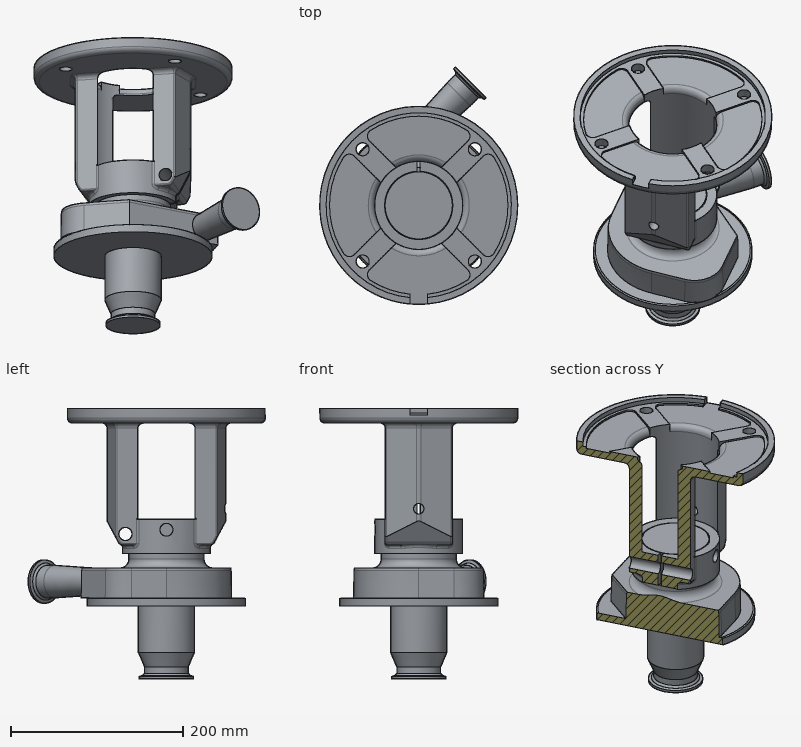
import cadquery as cq
import math

PLATE_TOP = 314.0
PLATE_BOTTOM = 297.0
RING_TOP = 185.5
LEG_BOTTOM = 155.5
RING_BOTTOM = 145.5
CASING_TOP = 129.0
FLANGE_TOP = 94.0
FLANGE_BOTTOM = 84.5

PLATE_RADIUS = 115.0
PLATE_EDGE_ROUND = 6.0
RECESS_RADIUS = 107.5
RECESS_DEPTH = 5.5
POCKET_RADIUS = 103.5
POCKET_DEPTH = 7.5
POCKET_CORNER_RADIUS = 8.0
PAD_WIDTH = 25.0
PLATE_HOLE_RADIUS = 92.0
PLATE_HOLE_DIAMETER = 15.0
NOTCH_WIDTH = 20.0
BORE_RADIUS = 51.1
BORE_LIP_ROUND = 7.5

LEG_WIDTH = 77.8
LEG_RIDGE_Y = 69.3
LEG_FACE_SLOPE = 15.0
LEG_RIDGE_ROUND = 10.0
LEG_CORNER_ROUND = 2.0
LEG_ROOT_ROUND = 6.0
LEG_CHAMFER_START = 184.0
LEG_CHAMFER_ANGLE = 28.0
LEG_TOE_ROUND = 6.0
LEG_RING_ROUND = 4.0
PEEP_HOLE_DIAMETER = 12.0
PEEP_HOLE_Z = 197.6

CLAMP_HOLE_DIAMETER = 15.0
CLAMP_HOLE_Y = 47.6
CLAMP_HOLE_Z = 168.3
SLIT_WIDTH = 3.5
SLIT_TOP = 210.0
SIDE_HOLE_Z = 173.2
SIDE_HOLE_DIAMETER = 15.0
SPIGOT_RADIUS = 39.0
SPIGOT_GAP = 0.6
SPIGOT_GAP_DEPTH = 2.0

NECK_RADIUS = 43.8
NECK_FLARE = 10.0

CASING_RADIUS = 75.75
CASING_CORNER_RADIUS = 35.0
CASING_DRAFT = 1.0
CASING_WALL_SLOPE = 30.0
CASING_OUTLET_DISTANCE = 63.0
CASING_EDGE_BEVEL_HEIGHT = 3.2
CASING_EDGE_BEVEL_INSET = 0.5
FLANGE_RADIUS = 92.0
FLANGE_BEVEL_RUN = 2.0
FLANGE_BEVEL_DROP = 0.7

INLET_RADIUS = 32.8
INLET_CONE_TOP = 31.0
INLET_CONE_BOTTOM = 14.0
INLET_TUBE_RADIUS = 25.5
INLET_FERRULE_RADIUS = 31.6

OUTLET_AXIS_OFFSET = 58.3
OUTLET_END = 143.7
OUTLET_Z = 113.0
OUTLET_ROOT = CASING_OUTLET_DISTANCE - 10.0
OUTLET_ROOT_RADIUS = 15.5
OUTLET_TUBE_RADIUS = 19.0
OUTLET_CONE_END = 124.0
OUTLET_FERRULE_RADIUS = 25.25

FERRULE_THICKNESS = 3.0
FERRULE_SLOPE_RUN = 2.5
FERRULE_SLOPE_HEIGHT = 1.0
FERRULE_CONE_HEIGHT = 2.5

ALONG_45 = math.sqrt(0.5)
PAD_ANGLES = (45, 135)
PAD_Z = PLATE_TOP - RECESS_DEPTH
POCKET_FLOOR_Z = PLATE_TOP - POCKET_DEPTH
TOLERANCE = 0.1


def cylinder(radius, bottom, top):
    """Solid cylinder on the vertical axis between two heights."""
    return cq.Workplane("XY").workplane(offset=bottom).circle(radius).extrude(top - bottom)


def turn_about_z(shape, angle):
    return shape.rotate((0, 0, 0), (0, 0, 1), angle)


def box_between(low, high):
    """Selector for edges centred inside a box, enlarged by the tolerance on every side."""
    return cq.selectors.BoxSelector(
        tuple(value - TOLERANCE for value in low),
        tuple(value + TOLERANCE for value in high),
    )


def leg():
    """Leg on the +Y side: ridged outer face, sloped foot and rounded edges."""
    half = LEG_WIDTH / 2
    edge_y = LEG_RIDGE_Y - half * math.tan(math.radians(LEG_FACE_SLOPE))
    inner_y = BORE_RADIUS / 2
    toe_y = LEG_RIDGE_Y - (LEG_CHAMFER_START - LEG_BOTTOM) * math.tan(math.radians(LEG_CHAMFER_ANGLE))

    blank = (
        cq.Workplane("XY")
        .workplane(offset=LEG_BOTTOM)
        .polyline([(-half, inner_y), (half, inner_y), (half, edge_y), (0, LEG_RIDGE_Y), (-half, edge_y)])
        .close()
        .extrude(PLATE_BOTTOM - LEG_BOTTOM)
    )
    foot_slope = (
        cq.Workplane("YZ")
        .polyline([(LEG_RIDGE_Y, LEG_CHAMFER_START), (toe_y, LEG_BOTTOM), (LEG_RIDGE_Y, LEG_BOTTOM)])
        .close()
        .extrude(half, both=True)
    )
    blank = blank.cut(foot_slope)
    blank = blank.edges("|Z and >Y").fillet(LEG_RIDGE_ROUND)
    blank = blank.edges(box_between((0, toe_y, LEG_BOTTOM), (0, toe_y, LEG_BOTTOM))).fillet(LEG_TOE_ROUND)

    outer_edges = box_between(
        (-half, BORE_RADIUS * ALONG_45, LEG_BOTTOM + 1),
        (half, edge_y, PLATE_BOTTOM - 1),
    )
    return blank.faces("<X or >X").edges(outer_edges).fillet(LEG_CORNER_ROUND)


def frame():
    """Plate and two legs, with the central bore running through both."""
    plate = cylinder(PLATE_RADIUS, PLATE_BOTTOM, PLATE_TOP)
    plate = plate.edges("<Z").fillet(PLATE_EDGE_ROUND)
    rear_leg = leg()
    body = plate.union(rear_leg).union(turn_about_z(rear_leg, 180))
    leg_roots = box_between(
        (-LEG_WIDTH / 2, -LEG_RIDGE_Y, PLATE_BOTTOM),
        (LEG_WIDTH / 2, LEG_RIDGE_Y, PLATE_BOTTOM),
    )
    body = body.edges(leg_roots).fillet(LEG_ROOT_ROUND)
    return body.cut(cylinder(BORE_RADIUS, LEG_BOTTOM, PLATE_TOP))


def cut_pads(shape, bottom, top):
    """Remove the two crossing pad strips from a cutter, so that the pads stay standing."""
    for angle in PAD_ANGLES:
        strip = (
            cq.Workplane("XY")
            .workplane(offset=bottom)
            .rect(2 * PLATE_RADIUS, PAD_WIDTH)
            .extrude(top - bottom)
        )
        shape = shape.cut(turn_about_z(strip, angle))
    return shape


def pockets():
    """Four sector pockets between the pads, rounded at their outer corners."""
    shape = cylinder(POCKET_RADIUS, POCKET_FLOOR_Z, PAD_Z)
    shape = shape.cut(cylinder(BORE_RADIUS / 2, POCKET_FLOOR_Z, PAD_Z))
    shape = cut_pads(shape, POCKET_FLOOR_Z, PAD_Z)
    outer_corners = [
        edge
        for edge in shape.edges("|Z").vals()
        if math.hypot(edge.Center().x, edge.Center().y) > BORE_RADIUS
    ]
    return shape.newObject(outer_corners).fillet(POCKET_CORNER_RADIUS)


def bore_lip():
    """Rounded lip where the pocket floors run into the bore."""
    lip_bottom = POCKET_FLOOR_Z - BORE_LIP_ROUND
    inside = BORE_RADIUS / 2
    lip = (
        cq.Workplane("XZ")
        .moveTo(inside, POCKET_FLOOR_Z)
        .lineTo(BORE_RADIUS + BORE_LIP_ROUND, POCKET_FLOOR_Z)
        .radiusArc((BORE_RADIUS, lip_bottom), -BORE_LIP_ROUND)
        .lineTo(inside, lip_bottom)
        .close()
        .revolve()
    )
    return cut_pads(lip, lip_bottom, POCKET_FLOOR_Z)


def cut_plate_top(body):
    """Recess, pockets, bore lip, rim notch and bolt holes in the plate."""
    recess = cylinder(RECESS_RADIUS, PAD_Z, PLATE_TOP)
    notch_start = POCKET_RADIUS - POCKET_CORNER_RADIUS
    notch = (
        cq.Workplane("XY")
        .workplane(offset=POCKET_FLOOR_Z)
        .center(0, -(notch_start + PLATE_RADIUS) / 2)
        .rect(NOTCH_WIDTH, PLATE_RADIUS - notch_start)
        .extrude(POCKET_DEPTH)
    )
    holes = (
        cq.Workplane("XY")
        .workplane(offset=PLATE_BOTTOM)
        .polarArray(PLATE_HOLE_RADIUS, PAD_ANGLES[0], 360, 4)
        .circle(PLATE_HOLE_DIAMETER / 2)
        .extrude(PLATE_TOP - PLATE_BOTTOM)
    )
    for cutter in (recess, pockets(), bore_lip(), notch, holes):
        body = body.cut(cutter)
    return body


def add_ring(body):
    """Clamp ring at the foot of the legs, blended into their sides and undersides."""
    body = body.union(cylinder(BORE_RADIUS, RING_BOTTOM, RING_TOP))

    def joins_leg(edge):
        on_ring = all(
            abs(math.hypot(vertex.X, vertex.Y) - BORE_RADIUS) < TOLERANCE for vertex in edge.Vertices()
        )
        return on_ring and RING_BOTTOM < edge.Center().z < RING_TOP - TOLERANCE

    seams = [edge for edge in body.edges().vals() if joins_leg(edge)]
    return body.newObject(seams).fillet(LEG_RING_ROUND)


def cut_clamp(body):
    """Groove around the spigot, clamping slit in the rear leg, and the cross holes."""
    groove_bottom = RING_TOP - SPIGOT_GAP_DEPTH
    groove = cylinder(SPIGOT_RADIUS + SPIGOT_GAP, groove_bottom, RING_TOP)
    groove = groove.cut(cylinder(SPIGOT_RADIUS, groove_bottom, RING_TOP))
    slit = (
        cq.Workplane("XY")
        .workplane(offset=RING_BOTTOM)
        .center(0, LEG_RIDGE_Y / 2)
        .rect(SLIT_WIDTH, LEG_RIDGE_Y)
        .extrude(SLIT_TOP - RING_BOTTOM)
        .cut(cylinder(SPIGOT_RADIUS, RING_BOTTOM, RING_TOP))
    )
    screw_hole = (
        cq.Workplane("YZ", origin=(0, CLAMP_HOLE_Y, CLAMP_HOLE_Z))
        .circle(CLAMP_HOLE_DIAMETER / 2)
        .extrude(LEG_WIDTH, both=True)
    )
    side_hole = (
        cq.Workplane("YZ", origin=(-BORE_RADIUS, 0, SIDE_HOLE_Z))
        .circle(SIDE_HOLE_DIAMETER / 2)
        .extrude(BORE_RADIUS - SPIGOT_RADIUS)
    )
    peep_hole = (
        cq.Workplane("XZ", origin=(0, 0, PEEP_HOLE_Z))
        .circle(PEEP_HOLE_DIAMETER / 2)
        .extrude(LEG_RIDGE_Y)
    )
    for cutter in (groove, slit, screw_hole, side_hole, peep_hole):
        body = body.cut(cutter)
    return body


def neck():
    """Neck from the casing up to the ring, flaring out to the casing top."""
    return (
        cq.Workplane("XZ")
        .moveTo(0, CASING_TOP)
        .lineTo(NECK_RADIUS + NECK_FLARE, CASING_TOP)
        .radiusArc((NECK_RADIUS, CASING_TOP + NECK_FLARE), NECK_FLARE)
        .lineTo(NECK_RADIUS, RING_BOTTOM)
        .lineTo(0, RING_BOTTOM)
        .close()
        .revolve()
    )


def casing():
    """Drafted volute: round at -X-Y, with a wall that slopes in to the outlet face."""
    radius = CASING_RADIUS
    corner = CASING_CORNER_RADIUS
    inner = radius - corner
    cos_slope = math.cos(math.radians(CASING_WALL_SLOPE))
    sin_slope = math.sin(math.radians(CASING_WALL_SLOPE))

    face_sum = CASING_OUTLET_DISTANCE / ALONG_45
    wall_start = (-inner - corner * sin_slope, inner + corner * cos_slope)
    wall_middle = (-inner - corner * cos_slope, inner + corner * sin_slope)
    wall_length = (face_sum - sum(wall_start)) / (cos_slope + sin_slope)
    wall_end = (wall_start[0] + wall_length * cos_slope, wall_start[1] + wall_length * sin_slope)

    body = (
        cq.Workplane("XY")
        .workplane(offset=FLANGE_TOP)
        .moveTo(-radius, 0)
        .threePointArc((-radius * ALONG_45, -radius * ALONG_45), (0, -radius))
        .lineTo(inner, -radius)
        .threePointArc((inner + corner * ALONG_45, -inner - corner * ALONG_45), (radius, -inner))
        .lineTo(radius, face_sum - radius)
        .lineTo(*wall_end)
        .lineTo(*wall_start)
        .threePointArc(wall_middle, (-radius, inner))
        .close()
        .extrude(CASING_TOP - FLANGE_TOP, taper=CASING_DRAFT)
    )
    return body.faces(">Z").edges().chamfer(CASING_EDGE_BEVEL_HEIGHT, CASING_EDGE_BEVEL_INSET)


def flange():
    """Round flange under the casing, bevelled along its upper rim."""
    return (
        cq.Workplane("XZ")
        .moveTo(0, FLANGE_BOTTOM)
        .lineTo(FLANGE_RADIUS, FLANGE_BOTTOM)
        .lineTo(FLANGE_RADIUS, FLANGE_TOP - FLANGE_BEVEL_DROP)
        .lineTo(FLANGE_RADIUS - FLANGE_BEVEL_RUN, FLANGE_TOP)
        .lineTo(0, FLANGE_TOP)
        .close()
        .revolve()
    )


def ferrule_points(tube_radius, ferrule_radius):
    """Half section of a ferrule as (radius, distance from its end face), from the axis outward."""
    slope_end = FERRULE_THICKNESS + FERRULE_SLOPE_HEIGHT
    return [
        (0, 0),
        (ferrule_radius, 0),
        (ferrule_radius, FERRULE_THICKNESS),
        (tube_radius + FERRULE_SLOPE_RUN, slope_end),
        (tube_radius, slope_end + FERRULE_CONE_HEIGHT),
    ]


def inlet():
    """Inlet pipe below the flange, narrowing to a ferrule at z = 0."""
    points = ferrule_points(INLET_TUBE_RADIUS, INLET_FERRULE_RADIUS) + [
        (INLET_TUBE_RADIUS, INLET_CONE_BOTTOM),
        (INLET_RADIUS, INLET_CONE_TOP),
        (INLET_RADIUS, FLANGE_BOTTOM),
        (0, FLANGE_BOTTOM),
    ]
    return cq.Workplane("XZ").polyline(points).close().revolve()


def outlet():
    """Tangential outlet pipe, widening away from the casing towards +X+Y."""
    length = OUTLET_END - OUTLET_ROOT
    points = ferrule_points(OUTLET_TUBE_RADIUS, OUTLET_FERRULE_RADIUS) + [
        (OUTLET_TUBE_RADIUS, OUTLET_END - OUTLET_CONE_END),
        (OUTLET_ROOT_RADIUS, length),
        (0, length),
    ]
    pipe = cq.Workplane("XZ").polyline(points).close().revolve()
    pipe = pipe.rotate((0, 0, 0), (1, 0, 0), 90)
    pipe = pipe.translate((-OUTLET_AXIS_OFFSET, OUTLET_END, OUTLET_Z))
    return turn_about_z(pipe, -45)


result = cut_clamp(add_ring(cut_plate_top(frame())))
for pump_part in (neck(), casing(), flange(), inlet(), outlet()):
    result = result.union(pump_part)